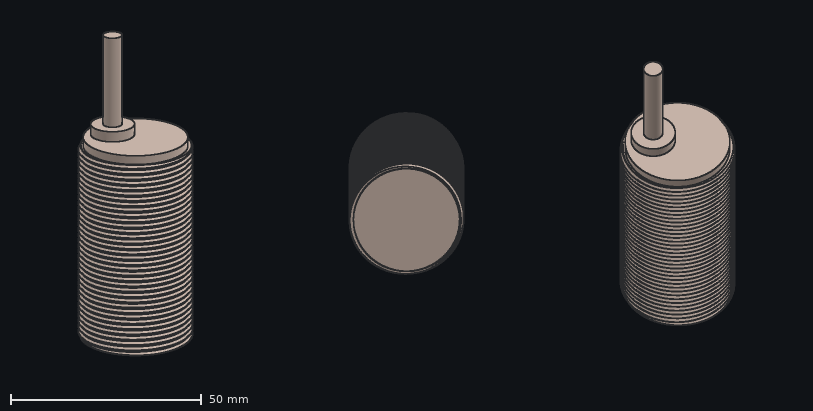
import cadquery as cq
import math

thread_radius = 15.0
thread_depth = 0.75
crest_span = 52.45
turns_in_span = 35
thread_pitch = crest_span / turns_in_span
thread_bottom = 0.5
thread_top = 53.5
core_radius = thread_radius - thread_depth
first_crest_height = 0.6
root_gap = 0.1
root_overlap = 0.04

base_radius = 13.9
body_radius = 13.7
body_top = 56.0

cable_x = -5.45
cable_y = -3.35
collar_radius = 5.8
collar_top = 58.8
cable_radius = 2.5
overall_height = 83.8


def cylinder(radius, bottom, top, x=0, y=0):
    return cq.Workplane("XY", origin=(x, y, bottom)).circle(radius).extrude(top - bottom)


def helix(radius, length, bottom):
    wire = cq.Wire.makeHelix(thread_pitch, length, radius, center=cq.Vector(0, 0, bottom))
    return wire.Edges()[0]


def thread_ridge():
    """Right-handed V ridge, trimmed flat at both ends of the thread."""
    lead_in_turns = 2
    start = first_crest_height - lead_in_turns * thread_pitch
    turns = math.ceil((thread_top - start) / thread_pitch) + 1
    length = turns * thread_pitch
    half_base = (thread_pitch - root_gap) / 2
    inner_radius = core_radius - root_overlap

    crest = helix(thread_radius, length, start)
    lower_root = helix(inner_radius, length, start - half_base)
    upper_root = helix(inner_radius, length, start + half_base)
    edges = [crest, lower_root, upper_root]
    faces = [
        cq.Face.makeRuledSurface(lower_root, crest),
        cq.Face.makeRuledSurface(crest, upper_root),
        cq.Face.makeRuledSurface(upper_root, lower_root),
    ]
    for end in (0, 1):
        corners = [edge.positionAt(end) for edge in edges]
        faces.append(cq.Face.makeFromWires(cq.Wire.makePolygon(corners, close=True)))
    ridge = cq.Workplane(cq.Solid.makeSolid(cq.Shell.makeShell(faces)))

    trim_radius = 2 * thread_radius
    trim_margin = 2 * thread_pitch
    below = cylinder(trim_radius, start - trim_margin, thread_bottom)
    above = cylinder(trim_radius, thread_top, start + length + trim_margin)
    return ridge.cut(below).cut(above)


base = cylinder(base_radius, 0, thread_bottom)
body = cylinder(body_radius, 0, body_top)
thread_core = cylinder(core_radius, thread_bottom, thread_top)
collar = cylinder(collar_radius, body_top, collar_top, cable_x, cable_y)
cable = cylinder(cable_radius, collar_top, overall_height, cable_x, cable_y)

result = thread_core.union(thread_ridge()).union(base).union(body).union(collar).union(cable)